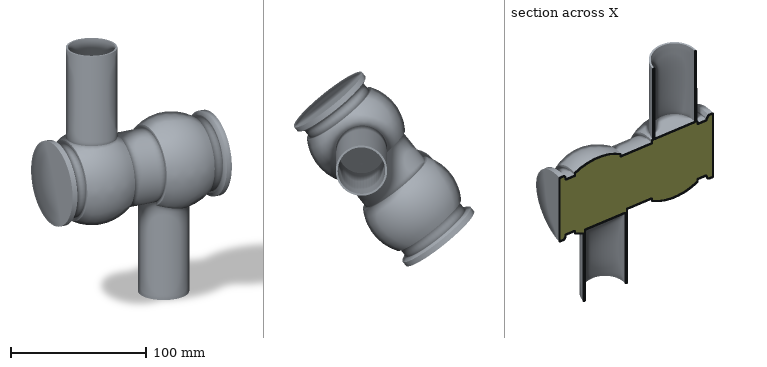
import cadquery as cq
import math

body_length = 133.5
body_radius = 28.0
flange_radius = 32.2
flange_rim = 4.0
flange_taper = 1.6
taper_end_radius = 29.4

ball_diameter = 72.8
ball_offset = 33.5
ball_half_width = 20.0

overall_height = 204.0
tube_radius = 19.0
tube_wall = 1.5
lower_tube_shift = 6.5

half_length = body_length / 2
half_height = overall_height / 2
ball_radius = ball_diameter / 2
ball_edge_radius = math.sqrt(ball_radius**2 - ball_half_width**2)
bore_floor = math.sqrt(ball_radius**2 - tube_radius**2)


def turned(profile):
    """Revolve a closed (radius, Y) profile about the Y axis."""
    return profile.close().revolve(360, (0, 0, 0), (0, 1, 0))


def make_barrel():
    """Plain cylinder with a tapered-back flange at each end."""
    rim_y = half_length - flange_rim
    neck_y = rim_y - flange_taper
    profile = (
        cq.Workplane("XY")
        .moveTo(0, -half_length)
        .lineTo(flange_radius, -half_length)
        .lineTo(flange_radius, -rim_y)
        .lineTo(taper_end_radius, -neck_y)
        .lineTo(body_radius, -neck_y)
        .lineTo(body_radius, neck_y)
        .lineTo(taper_end_radius, neck_y)
        .lineTo(flange_radius, rim_y)
        .lineTo(flange_radius, half_length)
        .lineTo(0, half_length)
    )
    return turned(profile)


def make_ball(center_y):
    """Ball cut flat on both sides."""
    front_y = center_y - ball_half_width
    back_y = center_y + ball_half_width
    profile = (
        cq.Workplane("XY")
        .moveTo(0, front_y)
        .lineTo(ball_edge_radius, front_y)
        .threePointArc((ball_radius, center_y), (ball_edge_radius, back_y))
        .lineTo(0, back_y)
    )
    return turned(profile)


def add_tube(part, center_y, direction):
    """Join a tube running up (+1) or down (-1) and bore it to the ball."""
    tube = (
        cq.Workplane("XY")
        .center(0, center_y)
        .circle(tube_radius)
        .extrude(direction * half_height)
    )
    bore = (
        cq.Workplane("XY")
        .workplane(offset=direction * bore_floor)
        .center(0, center_y)
        .circle(tube_radius - tube_wall)
        .extrude(direction * (half_height - bore_floor))
    )
    return part.union(tube).cut(bore)


result = make_barrel()
for ball_y in (-ball_offset, ball_offset):
    result = result.union(make_ball(ball_y))

result = add_tube(result, -ball_offset, 1)
result = add_tube(result, ball_offset - lower_tube_shift, -1)